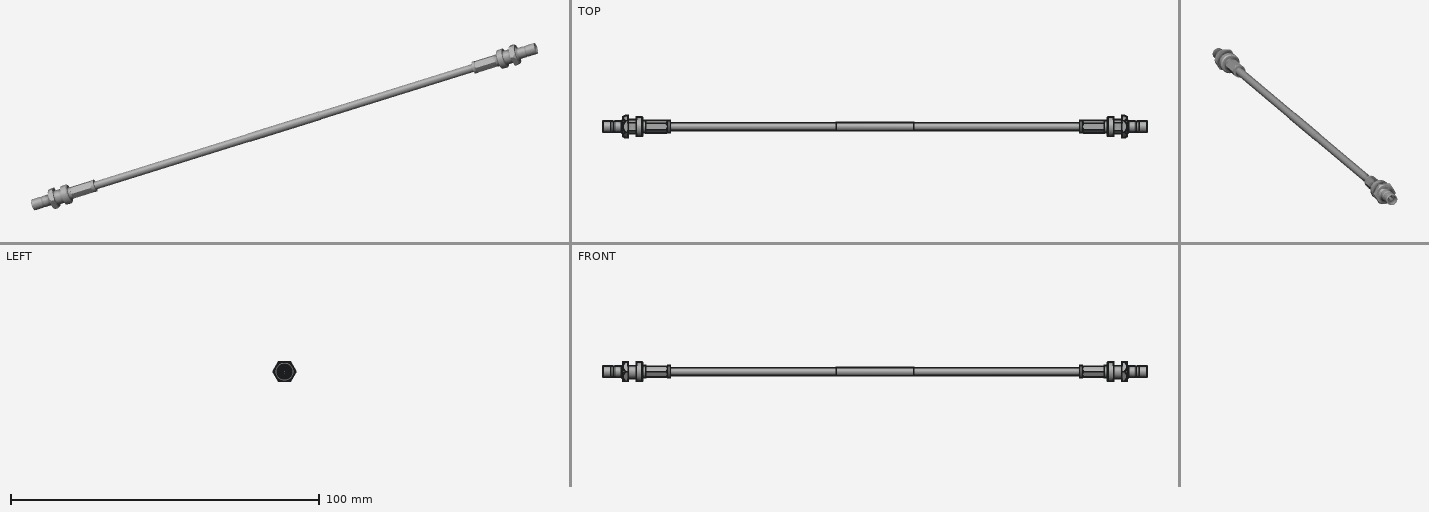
import cadquery as cq
import math

total_length = 176.4
half_length = total_length / 2

cable_radius = 1.3
sleeve_radius = 1.4
sleeve_length = 25.0

snap_groove_centre = 3.5
snap_groove_half_width = 0.5
thread_start = 6.0
nut_start = 6.5
nut_end = 8.2
collar_start = 10.85
collar_end = 12.95
crimp_start = 13.9
crimp_end = 21.0
connector_length = 21.9

tip_radius = 1.85
tip_chamfer = 0.15
snap_groove_depth = 0.15
thread_radius = 2.35
thread_flat_height = 1.95
collar_chamfer = 0.35
ferrule_radius = 2.0

nut_across_flats = 6.35
collar_radius = nut_across_flats / 2
crimp_across_flats = 3.6
chamfer_slope = math.tan(math.radians(30))

socket_radius = 1.5
socket_depth = 2.5
inner_socket_radius = 1.0
inner_socket_depth = 4.5
pin_radius = 0.45
pin_recess = 0.6


def turned(profile):
    """Solid turned about the X axis from a closed list of (x, radius) points."""
    return cq.Workplane("XZ").polyline(profile).close().revolve(360, (0, 0), (1, 0))


def bar(start, end, radius):
    """Round bar along X between two stations."""
    return turned([(start, 0), (start, radius), (end, radius), (end, 0)])


def hex_bar(start, end, across_flats):
    """Hexagonal bar along X with flats facing up and down and corners on the Y axis."""
    across_corners = across_flats / math.cos(math.pi / 6)
    return cq.Workplane("YZ", origin=(start, 0, 0)).polygon(6, across_corners).extrude(end - start)


def chamfered_hex(plain_end, chamfered_end, across_flats):
    """Hexagonal bar whose corners are turned off by a cone at one end."""
    flat_radius = across_flats / 2
    length = abs(chamfered_end - plain_end)
    plain_radius = flat_radius + length * chamfer_slope
    cone = turned(
        [(plain_end, 0), (plain_end, plain_radius), (chamfered_end, flat_radius), (chamfered_end, 0)]
    )
    start = min(plain_end, chamfered_end)
    return hex_bar(start, start + length, across_flats).intersect(cone)


def snout():
    """Mating end with a V-shaped snap groove."""
    return turned([
        (0, 0),
        (0, tip_radius - tip_chamfer),
        (tip_chamfer, tip_radius),
        (snap_groove_centre - snap_groove_half_width, tip_radius),
        (snap_groove_centre, tip_radius - snap_groove_depth),
        (snap_groove_centre + snap_groove_half_width, tip_radius),
        (thread_start, tip_radius),
        (thread_start, 0),
    ])


def threaded_barrel():
    """Bulkhead barrel with a 45 degree coned start and an anti-rotation flat along its top."""
    barrel = turned([
        (thread_start, 0),
        (thread_start, tip_radius),
        (thread_start + thread_radius - tip_radius, thread_radius),
        (collar_start, thread_radius),
        (collar_start, 0),
    ])
    above_flat = cq.Workplane("XY", origin=(0, 0, thread_flat_height)).box(
        2 * collar_start, 2 * thread_radius, thread_radius, centered=(True, True, False)
    )
    return barrel.cut(above_flat)


def nut():
    """Hexagonal bulkhead nut; its round bore leaves a gap above the flat of the barrel."""
    hexagon = chamfered_hex(nut_end, nut_start, nut_across_flats)
    return hexagon.cut(bar(nut_start, nut_end, thread_radius))


def collar():
    """Round stop collar, chamfered on its cable side."""
    return bar(collar_start, collar_end, collar_radius).faces(">X").chamfer(collar_chamfer)


def crimp_ferrule():
    """Ferrule with a round ring at each end of its hexagonal crimp."""
    front_ring = bar(collar_end, crimp_start, ferrule_radius)
    crimp = chamfered_hex(crimp_start, crimp_end, crimp_across_flats)
    rear_ring = bar(crimp_end, connector_length, ferrule_radius)
    return front_ring.union(crimp).union(rear_ring)


def connector_body():
    """One connector, mating tip at X = 0 and cable end at X = connector_length."""
    body = (
        snout()
        .union(threaded_barrel())
        .union(nut())
        .union(collar())
        .union(crimp_ferrule())
    )
    socket = bar(0, socket_depth, socket_radius).union(bar(0, inner_socket_depth, inner_socket_radius))
    pin = bar(pin_recess, inner_socket_depth, pin_radius)
    return body.cut(socket.cut(pin))


def cable_body():
    """Cable between the two ferrules, thicker along the marker sleeve."""
    cable_end = half_length - connector_length
    cable = bar(-cable_end, cable_end, cable_radius)
    return cable.union(bar(-sleeve_length / 2, sleeve_length / 2, sleeve_radius))


left_connector = connector_body().translate((-half_length, 0, 0))
connectors = [left_connector.rotate((0, 0, 0), (0, 0, 1), angle) for angle in (0, 180)]
cable = cable_body()

result = cq.Compound.makeCompound([cable.val(), *[connector.val() for connector in connectors]])